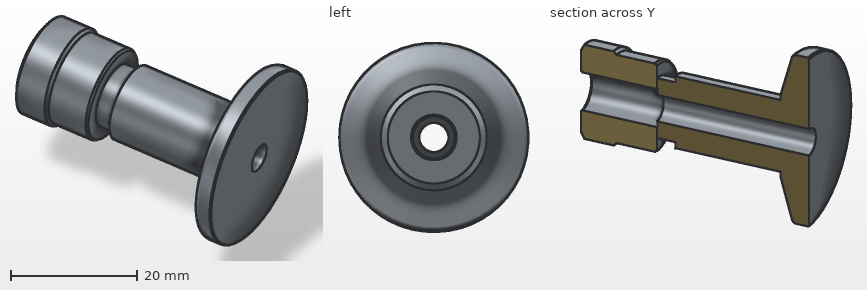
import cadquery as cq
import math

total_length = 40.55
head_length = 13.55
collar_end = 6.35
neck_end = 16.7
flange_start = 35.35
rim_start = 38.35

collar_radius = 8.4
head_radius = 7.85
nose_face_radius = 7.3
nose_chamfer_angle = 30.0
head_end_chamfer = 0.4
head_end_chamfer_depth = 0.3
bore_radius = 3.32
bore_chamfer = 0.3

neck_radius = 5.35
shaft_radius = 6.4
flange_face_radius = 7.15
flange_radius = 15.0
cone_angle = 16.0
rim_fillet = 1.0
rim_back_chamfer = 0.2
passage_radius = 2.3


def revolve_about_x(profile):
    """Turn a closed half-profile, drawn as (x, radius), about the X axis."""
    return profile.close().revolve(360, (0, 0, 0), (1, 0, 0))


def make_head():
    """Bored head with a wide collar at its free end."""
    nose_chamfer_length = (collar_radius - nose_face_radius) * math.tan(math.radians(nose_chamfer_angle))
    collar_step = collar_radius - head_radius
    profile = (
        cq.Workplane("XY")
        .moveTo(0, bore_radius + bore_chamfer)
        .lineTo(0, nose_face_radius)
        .lineTo(nose_chamfer_length, collar_radius)
        .lineTo(collar_end - collar_step, collar_radius)
        .lineTo(collar_end, head_radius)
        .lineTo(head_length - head_end_chamfer, head_radius)
        .lineTo(head_length, head_radius - head_end_chamfer_depth)
        .lineTo(head_length, bore_radius)
        .lineTo(bore_chamfer, bore_radius)
    )
    return revolve_about_x(profile)


def make_spindle():
    """Necked shaft with a conical flange and a through passage; its neck butts against the head."""
    slope = math.radians(cone_angle)
    fillet_center_radius = flange_radius - rim_fillet

    def fillet_point(angle):
        """Point on the rim fillet, with the angle taken from the -X direction."""
        return (
            rim_start - rim_fillet * math.cos(angle),
            fillet_center_radius + rim_fillet * math.sin(angle),
        )

    fillet_mid_angle = (slope + math.pi / 2) / 2
    cone_end = fillet_point(slope)
    profile = (
        cq.Workplane("XY")
        .moveTo(head_length, passage_radius)
        .lineTo(head_length, neck_radius)
        .lineTo(neck_end, neck_radius)
        .lineTo(neck_end, shaft_radius)
        .lineTo(flange_start, shaft_radius)
        .lineTo(flange_start, flange_face_radius)
        .lineTo(*cone_end)
        .threePointArc(fillet_point(fillet_mid_angle), (rim_start, flange_radius))
        .lineTo(total_length - rim_back_chamfer, flange_radius)
        .lineTo(total_length, flange_radius - rim_back_chamfer)
        .lineTo(total_length, passage_radius)
    )
    return revolve_about_x(profile)


head = make_head()
spindle = make_spindle()

result = cq.Compound.makeCompound([head.val(), spindle.val()])